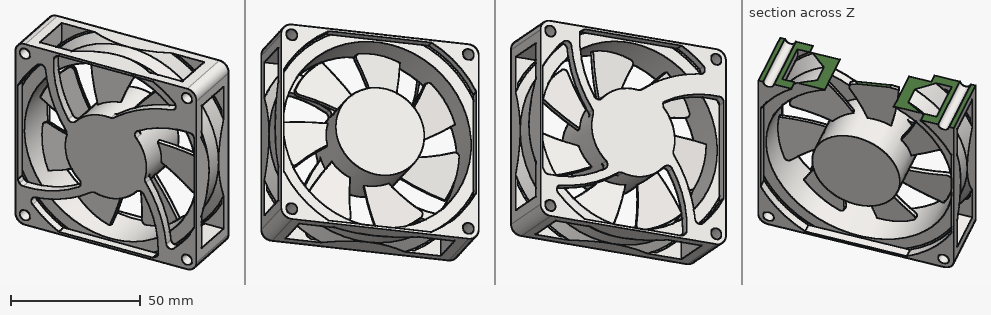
import cadquery as cq
import math

side = 80.0
depth = 25.5
corner_radius = 4.2
hole_radius = 2.2
hole_offset = side / 2 - corner_radius

flange_thickness = 4.1
post_width = 8.6
bore_radius = 38.1

duct_radius = side / 2
duct_flange_radius = 43.4
duct_front_length = 10.0
duct_back_length = 8.0

window_depth = 3.8
window_side = 77.9
window_radius = 44.2
window_fillet = 2.0
sharp_tolerance = 0.2
hub_radius = 17.9

arm_outer_center = (25.1, 36.2)
arm_outer_radius = 52.0
arm_inner_center = (20.7, 34.9)
arm_inner_radius = 43.8
wide_arm_extra = 2.3
wide_arm_quarter = 1

blade_count = 7
blade_thickness = 1.6
blade_tilt = 10.9
blade_axis_angle = 13.6
blade_front_y = -0.3
blade_tip_fillet = 1.7
blade_lead_root = (16.0, 6.0)
blade_lead_middle = (27.2, 5.7)
blade_lead_tip = (36.5, 4.5)
blade_tip_middle = (36.1, -4.0)
blade_trail_tip = (31.8, -15.3)
blade_trail_middle = (24.0, -8.2)
blade_trail_root = (16.0, -2.7)

front = -depth / 2
back = depth / 2
half = side / 2


def cylinder_y(radius, y_start, y_end, center=(0, 0)):
    """Cylinder along Y, centred at (x, z)."""
    base = cq.Workplane("XZ", origin=(center[0], y_start, center[1]))
    return base.circle(radius).extrude(y_start - y_end)


def make_frame():
    """Two square flanges joined by corner posts and a flared duct."""
    frame = cq.Workplane("XY").box(side, depth, side).edges("|Y").fillet(corner_radius)
    pocket_depth = depth - 2 * flange_thickness
    pocket_length = side - 2 * post_width
    frame = frame.cut(cq.Workplane("XY").box(pocket_length, pocket_depth, side))
    frame = frame.cut(cq.Workplane("XY").box(side, pocket_depth, pocket_length))

    pocket_front = front + flange_thickness
    pocket_back = back - flange_thickness
    duct = (
        cq.Workplane("XY")
        .moveTo(0, pocket_front)
        .lineTo(duct_flange_radius, pocket_front)
        .lineTo(duct_radius, front + duct_front_length)
        .lineTo(duct_radius, back - duct_back_length)
        .lineTo(duct_flange_radius, pocket_back)
        .lineTo(0, pocket_back)
        .close()
        .revolve(360, (0, 0, 0), (0, 1, 0))
    )
    envelope = cq.Workplane("XY").box(side, depth, side)
    return frame.union(duct.intersect(envelope))


def make_recess(y_start, y_end):
    """Round opening wider than the frame, cut off flat on its four sides."""
    envelope = cq.Workplane("XY").box(window_side, depth, window_side)
    return cylinder_y(window_radius, y_start, y_end).intersect(envelope)


def make_arm(extra=0.0):
    """Upper-left arm: the crescent between two arcs, widened by extra on both edges."""
    window_end = front + window_depth
    outer = cylinder_y(arm_outer_radius + extra, front, window_end, arm_outer_center)
    inner = cylinder_y(arm_inner_radius - extra, front, window_end, arm_inner_center)
    left_half = cq.Workplane("XY").box(side, 2 * depth, 2 * side).translate((-half, 0, 0))
    return outer.cut(inner).intersect(left_half)


def make_windows():
    """Front recess divided by the hub and the arms, rounded where an arm edge meets another edge."""
    window_end = front + window_depth
    windows = make_recess(front, window_end).cut(cylinder_y(hub_radius, front, window_end))
    for quarter in range(4):
        arm = make_arm(wide_arm_extra if quarter == wide_arm_quarter else 0.0)
        windows = windows.cut(arm.rotate((0, 0, 0), (0, 1, 0), 90 * quarter))

    straight = window_side / 2
    sharp_reach = math.sqrt(window_radius**2 - straight**2)

    def is_rounded(edge):
        place = edge.Center()
        near = min(abs(place.x), abs(place.z))
        far = max(abs(place.x), abs(place.z))
        return math.hypot(near - sharp_reach, far - straight) > sharp_tolerance

    rounded = [edge for edge in windows.edges("|Y").vals() if is_rounded(edge)]
    return windows.newObject(rounded).fillet(window_fillet)


def make_blade():
    """Flat plate reaching from inside the hub towards +X, leading edge at the front."""
    plate = (
        cq.Workplane("XZ", origin=(0, blade_thickness, 0))
        .moveTo(*blade_lead_root)
        .threePointArc(blade_lead_middle, blade_lead_tip)
        .threePointArc(blade_tip_middle, blade_trail_tip)
        .threePointArc(blade_trail_middle, blade_trail_root)
        .close()
        .extrude(blade_thickness)
    )
    tip_corner = cq.selectors.NearestToPointSelector((blade_trail_tip[0], 0, blade_trail_tip[1]))
    plate = plate.edges("|Y").edges(tip_corner).fillet(blade_tip_fillet)
    axis_angle = math.radians(blade_axis_angle)
    axis_end = (math.cos(axis_angle), 0, -math.sin(axis_angle))
    plate = plate.rotate((0, 0, 0), axis_end, blade_tilt)
    return plate.translate((0, blade_front_y, 0))


def make_rotor():
    """Hub cylinder with the blades spaced evenly around it."""
    rotor = cylinder_y(hub_radius, front, back)
    blade = make_blade()
    for index in range(blade_count):
        rotor = rotor.union(blade.rotate((0, 0, 0), (0, 1, 0), index * 360 / blade_count))
    return rotor


body = make_frame()
body = body.cut(cylinder_y(bore_radius, front + window_depth, back))
body = body.cut(make_recess(back - window_depth, back))
body = body.cut(make_windows())
for x in (-hole_offset, hole_offset):
    for z in (-hole_offset, hole_offset):
        body = body.cut(cylinder_y(hole_radius, front, back, (x, z)))

result = body.union(make_rotor())